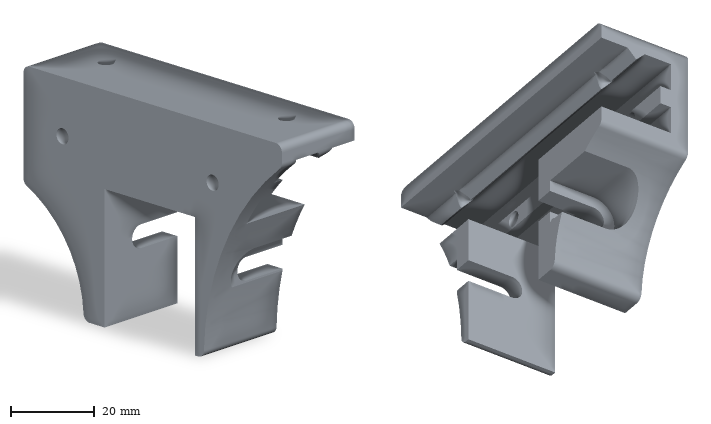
import cadquery as cq
import math

length = 86.0
depth = 25.0
height = 60.0
wall = 5.0
edge_radius = 2.0

left_foot_x = 20.0
right_foot_x = 60.0
gap_start = 27.0
gap_end = 57.0
gap_height = 35.0
left_arc_radius = 32.7
right_arc_radius = 70.0

channel_top = height - wall
channel_height = channel_top - gap_height
channel_mid = gap_height + channel_height / 2
rail_width = 5.0
rail_height = 3.0
ridge_y = 15.0
ridge_height = 2.5

hole_diameter = 4.0
hole_x = 13.0
front_hole_spacing = 50.0
top_hole_spacing = 60.0
teardrop_tip = 3.5

slot_z = 20.0
slot_radius = 3.0
recess_radius = 6.0
slot_end_y = depth / 2


def arc_height(radius, offset):
    """Height at which an arc that starts vertical has moved sideways by offset."""
    return math.sqrt(radius**2 - (radius - offset)**2)


def arc_middle(radius, foot_x, offset, side):
    """Middle point of such an arc; side is -1 or +1, the way it bends in X."""
    half_angle = math.acos((radius - offset) / radius) / 2
    return (foot_x + side * radius * (1 - math.cos(half_angle)), radius * math.sin(half_angle))


def make_body():
    right_offset = length - right_foot_x
    left_corner = (0, arc_height(left_arc_radius, left_foot_x))
    right_corner = (length, arc_height(right_arc_radius, right_offset))
    outline = (
        cq.Workplane("XZ")
        .moveTo(left_foot_x, 0)
        .threePointArc(arc_middle(left_arc_radius, left_foot_x, left_foot_x, -1), left_corner)
        .lineTo(0, height)
        .lineTo(length, height)
        .lineTo(*right_corner)
        .threePointArc(arc_middle(right_arc_radius, right_foot_x, right_offset, 1), (right_foot_x, 0))
        .close()
    )
    body = outline.extrude(-depth).edges("|Y").fillet(edge_radius)
    gap = cq.Workplane("XY").box(gap_end - gap_start, depth, gap_height, centered=False)
    return body.cut(gap.translate((gap_start, 0, 0)))


def make_channel():
    """Channel cavity, its section leaving the rail and the V ridge standing."""
    rail_y = wall + rail_height
    return (
        cq.Workplane("YZ")
        .moveTo(depth, gap_height)
        .lineTo(wall, gap_height)
        .lineTo(wall, channel_mid - rail_width / 2)
        .lineTo(rail_y, channel_mid - rail_width / 2)
        .lineTo(rail_y, channel_mid + rail_width / 2)
        .lineTo(wall, channel_mid + rail_width / 2)
        .lineTo(wall, channel_top)
        .lineTo(ridge_y - ridge_height, channel_top)
        .lineTo(ridge_y, channel_top - ridge_height)
        .lineTo(ridge_y + ridge_height, channel_top)
        .lineTo(depth, channel_top)
        .close()
        .extrude(length)
    )


def make_front_holes():
    centres = [(hole_x, channel_mid), (hole_x + front_hole_spacing, channel_mid)]
    return cq.Workplane("XZ").pushPoints(centres).circle(hole_diameter / 2).extrude(-depth)


def make_teardrop(x):
    """Vertical teardrop hole through the top wall, its tip toward the back."""
    radius = hole_diameter / 2
    tangent_y = radius**2 / teardrop_tip
    tangent_x = math.sqrt(radius**2 - tangent_y**2)
    return (
        cq.Workplane("XY", origin=(x, ridge_y, channel_mid))
        .moveTo(tangent_x, tangent_y)
        .lineTo(0, teardrop_tip)
        .lineTo(-tangent_x, tangent_y)
        .threePointArc((0, -radius), (tangent_x, tangent_y))
        .close()
        .extrude(height - channel_mid)
    )


def make_slot(radius, start_x, end_x):
    """Round-ended slot along X, open to the back."""
    return (
        cq.Workplane("YZ", origin=(start_x, 0, 0))
        .moveTo(depth, slot_z - radius)
        .lineTo(slot_end_y, slot_z - radius)
        .threePointArc((slot_end_y - radius, slot_z), (slot_end_y, slot_z + radius))
        .lineTo(depth, slot_z + radius)
        .close()
        .extrude(end_x - start_x)
    )


result = make_body().cut(make_channel()).cut(make_front_holes())
for teardrop_x in (hole_x, hole_x + top_hole_spacing):
    result = result.cut(make_teardrop(teardrop_x))
result = result.cut(make_slot(slot_radius, 0, length))
result = result.cut(make_slot(recess_radius, 0, gap_start - wall))
result = result.cut(make_slot(recess_radius, gap_end + wall, length))